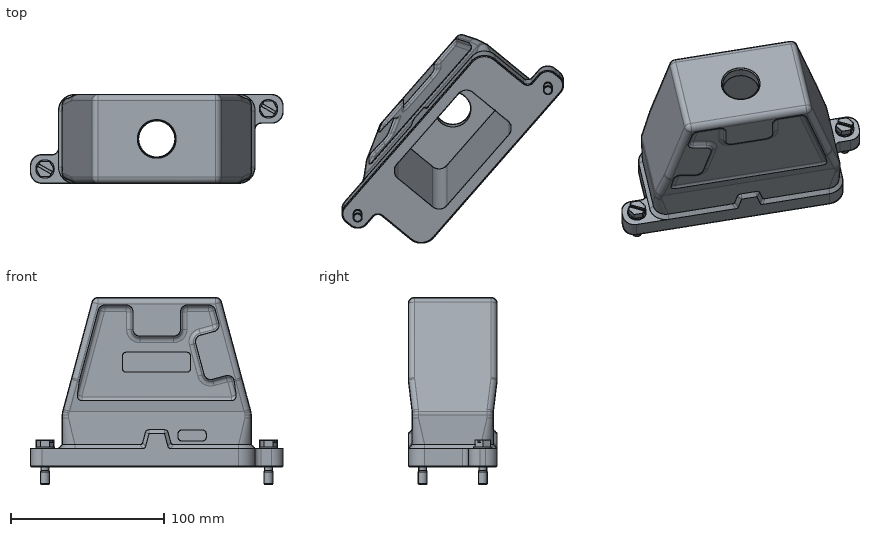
import cadquery as cq
import math


flange_half_x = 64.2
flange_half_y = 29.0
flange_top = 12.0
flange_corner = 10.7
flange_bottom_chamfer = 0.7
collar_step = 2.5
collar_top = flange_top + collar_step
collar_corner = flange_corner - collar_step

ear_reach = 82.5
ear_width = 18.8
ear_corner = 7.6
ear_inner_fillet = 4.0

slope = 15.0
slope_run = math.tan(math.radians(slope))
body_half_x = flange_half_x - collar_step
waist_half_y = flange_half_y - collar_step
body_top = 110.5
edge_radius = 4.1
corner_top = 32.0
side_bend = 35.0
bend_radius = 9.4
waist_top = 36.3
bulge_bottom = 56.6
roof_half_x = body_half_x - (body_top - side_bend) * slope_run

cavity_half_x = 38.0
cavity_half_y = 21.5
cavity_corner = 6.6
roof_thickness = 7.6
entry_diameter = 23.6
entry_chamfer = 0.8

panel_depth = flange_half_y - waist_half_y
panel_top = 105.6
panel_bottom = 41.5
panel_margin = 5.5
panel_corner = 4.5
panel_floor_fillet = 4.1
top_pad_half = 15.5
top_pad_bottom = 85.3
side_pad_length = 29.9
side_pad_depth = 18.0
side_pad_middle = 75.0

tongue_top = 24.3
tongue_top_half = 7.0
tongue_corner = 2.6
tongue_root_fillet = 2.5

label_depth = 0.5
brand_size = (44.5, 13.0)
brand_place = (-0.2, 68.3)
brand_corner = 2.5
rating_size = (18.5, 7.3)
rating_place = (23.1, 20.5)
rating_corner = 2.6

screw_x = 73.0
screw_y = 19.6
thread_diameter = 6.0
neck_diameter = 5.3
neck_length = 2.5
neck_taper = 0.8
screw_tip = -11.4
tip_chamfer = 0.5
washer_diameter = 12.0
washer_height = 1.0
head_flats = 10.0
head_top = 17.5
slot_width = 1.8
slot_depth = 1.5
slot_angle = -30.0


def rounded_block(half_x, half_y, corner, bottom, top):
    """Upright block centred on Z with rounded vertical edges."""
    block = cq.Workplane("XY").workplane(offset=bottom).rect(2 * half_x, 2 * half_y).extrude(top - bottom)
    return block.edges("|Z").fillet(corner)


def rounded_section(half_x, half_y, corner, z):
    """Closed rounded rectangle at height z."""
    return cq.Sketch().rect(2 * half_x, 2 * half_y).vertices().fillet(corner).moved(cq.Location((0, 0, z)))


def front_plane(depth):
    """Plane parallel to the front face at Y = -depth, facing out of the part."""
    return cq.Workplane("XZ", origin=(0, -depth, 0))


def mirrored_pair(solid):
    """A front feature together with its copy on the back."""
    return solid.union(solid.mirror("XZ"))


def make_flange():
    """Flange plate with an ear at the front left and one at the back right."""
    flange = rounded_block(flange_half_x, flange_half_y, flange_corner, 0, flange_top)
    inner_y = ear_width - flange_half_y
    ear_length = ear_reach - flange_half_x + flange_corner
    ear = (
        cq.Workplane("XY")
        .box(ear_length, ear_width, flange_top, centered=False)
        .translate((-ear_reach, -flange_half_y, 0))
        .edges("|Z and <X")
        .fillet(ear_corner)
    )
    flange = flange.union(ear).union(ear.rotate((0, 0, 0), (0, 0, 1), 180))
    for side in (-1, 1):
        inner_edge = cq.NearestToPointSelector((side * flange_half_x, -side * inner_y, flange_top / 2))
        flange = flange.edges("|Z").edges(inner_edge).fillet(ear_inner_fillet)
    return flange.faces("<Z").chamfer(flange_bottom_chamfer)


def make_collar():
    """45 degree step from the flange outline to the housing outline."""
    outline = rounded_section(flange_half_x, flange_half_y, flange_corner, 0)
    return cq.Workplane("XY").workplane(offset=flange_top).placeSketch(outline).extrude(collar_step, taper=45)


def make_lower_body():
    """Straight lower walls whose corner radius shrinks upwards."""
    lower = rounded_section(body_half_x, waist_half_y, collar_corner, collar_top)
    upper = rounded_section(body_half_x, waist_half_y, edge_radius, corner_top)
    return cq.Workplane("XY").placeSketch(lower, upper).loft()


def make_upper_body():
    """Crossing of the sloped front outline and the bulged side outline, with rounded edges."""
    front_outline = (
        cq.Workplane("XZ")
        .moveTo(-body_half_x, corner_top)
        .lineTo(body_half_x, corner_top)
        .lineTo(body_half_x, side_bend)
        .lineTo(roof_half_x, body_top)
        .lineTo(-roof_half_x, body_top)
        .lineTo(-body_half_x, side_bend)
        .close()
        .extrude(flange_half_y, both=True)
    )
    side_outline = (
        cq.Workplane("YZ")
        .moveTo(-waist_half_y, corner_top)
        .lineTo(waist_half_y, corner_top)
        .lineTo(waist_half_y, waist_top)
        .lineTo(flange_half_y, bulge_bottom)
        .lineTo(flange_half_y, body_top)
        .lineTo(-flange_half_y, body_top)
        .lineTo(-flange_half_y, bulge_bottom)
        .lineTo(-waist_half_y, waist_top)
        .close()
        .extrude(body_half_x, both=True)
    )
    for side in (-1, 1):
        side_edge = cq.NearestToPointSelector((side * body_half_x, 0, side_bend))
        front_outline = front_outline.edges("|Y").edges(side_edge).fillet(bend_radius)
        bulge_edge = cq.NearestToPointSelector((0, side * flange_half_y, bulge_bottom))
        side_outline = side_outline.edges("|X").edges(bulge_edge).fillet(bend_radius)
    body = front_outline.intersect(side_outline)
    return body.edges("(>Z) or (not(|X or |Y))").fillet(edge_radius)


def panel_half_x(z):
    """Half width of the recessed panel at height z."""
    return body_half_x - panel_margin - (z - side_bend) * slope_run


def make_panel_cutter():
    """Tapered recess that leaves a top pad and a tilted side pad standing."""
    trapezoid = cq.Sketch().polygon(
        [
            (-panel_half_x(panel_bottom), panel_bottom),
            (panel_half_x(panel_bottom), panel_bottom),
            (panel_half_x(panel_top), panel_top),
            (-panel_half_x(panel_top), panel_top),
            (-panel_half_x(panel_bottom), panel_bottom),
        ]
    )
    top_pad_height = 2 * (panel_top - top_pad_bottom)
    top_pad = cq.Sketch().push([(0, panel_top)]).rect(2 * top_pad_half, top_pad_height)
    side_pad_place = cq.Location((panel_half_x(side_pad_middle), side_pad_middle, 0), (0, 0, 1), slope)
    side_pad = cq.Sketch().rect(2 * side_pad_depth, side_pad_length).moved(side_pad_place)
    outline = trapezoid.face(top_pad, mode="s").face(side_pad, mode="s").clean()
    outline.reset().vertices().fillet(panel_corner)
    cutter = front_plane(flange_half_y).placeSketch(outline).extrude(-panel_depth, taper=45)
    return cutter.faces(">Y").edges().fillet(panel_floor_fillet)


def make_tongue():
    """Trapezoidal tongue on the front wall with 45 degree flanks and rounded upper corners."""
    foot_half = tongue_top_half + tongue_top * slope_run
    base = [(-foot_half, 0), (foot_half, 0), (tongue_top_half, tongue_top), (-tongue_top_half, tongue_top)]
    outline = cq.Sketch().polygon(base + base[:1]).vertices(">Y").fillet(tongue_corner)
    return front_plane(waist_half_y).placeSketch(outline).extrude(collar_step, taper=45)


def round_tongue_roots(hood):
    """Fillet the four inner edges where the tongue flanks meet the collar slope."""
    root_y = (waist_half_y + flange_half_y) / 2
    root_z = (flange_top + collar_top) / 2
    root_x = tongue_top_half + (tongue_top - root_z) * slope_run - collar_step / 2
    for side_x in (-1, 1):
        for side_y in (-1, 1):
            root = cq.NearestToPointSelector((side_x * root_x, side_y * root_y, root_z))
            hood = hood.edges("not(|X or |Y or |Z)").edges(root).fillet(tongue_root_fillet)
    return hood


def make_label(size, place, corner, face_depth):
    """Shallow rounded field in the front wall at Y = -face_depth."""
    outline = cq.Sketch().push([place]).rect(*size).reset().vertices().fillet(corner)
    return front_plane(face_depth).placeSketch(outline).extrude(-label_depth)


def make_screw():
    """Slotted hexagon screw with its washer, upright on Z."""
    washer_top = flange_top + washer_height
    thread_radius = thread_diameter / 2
    neck_radius = neck_diameter / 2
    washer_radius = washer_diameter / 2
    thread_top = -neck_length - neck_taper
    profile = [
        (0, screw_tip),
        (thread_radius - tip_chamfer, screw_tip),
        (thread_radius, screw_tip + tip_chamfer),
        (thread_radius, thread_top),
        (neck_radius, -neck_length),
        (neck_radius, flange_top),
        (washer_radius, flange_top),
        (washer_radius, washer_top),
        (0, washer_top),
    ]
    shank = cq.Workplane("XZ").polyline(profile).close().revolve(360, (0, 0, 0), (0, 1, 0))
    head_corners = head_flats / math.cos(math.radians(30))
    head_base = cq.Workplane("XY").workplane(offset=washer_top)
    head = head_base.polygon(6, head_corners).extrude(head_top - washer_top)
    slot = (
        cq.Workplane("XY")
        .box(washer_diameter, slot_width, 2 * slot_depth)
        .rotate((0, 0, 0), (0, 0, 1), slot_angle)
        .translate((0, 0, head_top))
    )
    return shank.union(head).cut(slot)


hood = make_flange().union(make_collar()).union(make_lower_body()).union(make_upper_body())
hood = hood.union(mirrored_pair(make_tongue()))
hood = round_tongue_roots(hood)

hood = hood.cut(mirrored_pair(make_panel_cutter()))
hood = hood.cut(make_label(brand_size, brand_place, brand_corner, waist_half_y))
hood = hood.cut(make_label(rating_size, rating_place, rating_corner, waist_half_y))

cavity = rounded_block(cavity_half_x, cavity_half_y, cavity_corner, 0, body_top - roof_thickness)
entry = cq.Workplane("XY").workplane(offset=body_top).circle(entry_diameter / 2).extrude(-2 * roof_thickness)
hood = hood.cut(cavity).cut(entry)
entry_rim = cq.NearestToPointSelector((0, entry_diameter / 2, body_top))
hood = hood.edges("%CIRCLE").edges(entry_rim).chamfer(entry_chamfer)

for side in (-1, 1):
    hood = hood.union(make_screw().translate((side * screw_x, side * screw_y, 0)))

result = hood